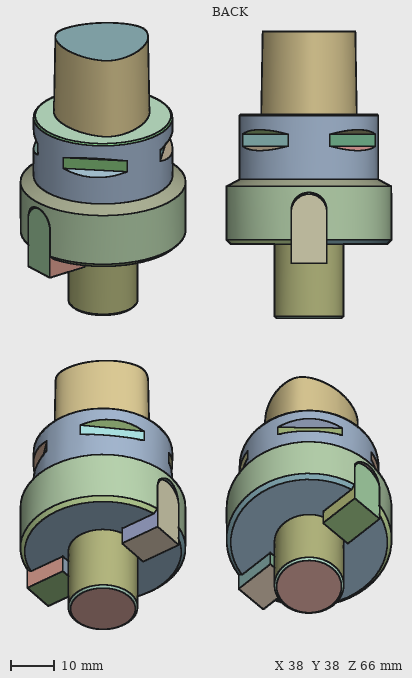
import cadquery as cq
import math

total_height = 66.0
flange_bottom = 17.1
flange_edge_top = 30.35
collar_bottom = 31.95
collar_top = 47.0

spigot_radius = 16.0 / 2
collar_radius = 32.0 / 2
flange_radius = 38.0 / 2
spigot_chamfer = 0.5
flange_chamfer = 1.0
collar_chamfer = 0.4

shank_base_radius = 11.0
shank_top_radius = 10.7
lobe_height = 0.8
lobe_points = 48

notch_count = 4
notch_middle_height = 41.0
notch_flat_height = 2.7
notch_flat_distance = 14.2
notch_side_angle = 30.0

key_width = 8.2
key_bottom = 12.7
key_inner = 8.45
key_outer = 18.6
slot_top = 29.0
key_end_gap = 0.4
key_angles = (0, 180)


def make_turned_body():
    """Spigot, flange and collar as one revolved profile."""
    return (
        cq.Workplane("XZ")
        .moveTo(0, 0)
        .lineTo(spigot_radius - spigot_chamfer, 0)
        .lineTo(spigot_radius, spigot_chamfer)
        .lineTo(spigot_radius, flange_bottom)
        .lineTo(flange_radius - flange_chamfer, flange_bottom)
        .lineTo(flange_radius, flange_bottom + flange_chamfer)
        .lineTo(flange_radius, flange_edge_top)
        .lineTo(collar_radius, collar_bottom)
        .lineTo(collar_radius, collar_top - collar_chamfer)
        .lineTo(collar_radius - collar_chamfer, collar_top)
        .lineTo(0, collar_top)
        .close()
        .revolve(360, (0, 0, 0), (0, 1, 0))
    )


def lobe_point(mean_radius, angle):
    """Point of a constant-width curve with three lobes, one pointing to +Y."""
    reach = mean_radius - lobe_height * math.sin(3 * angle)
    slope = -3 * lobe_height * math.cos(3 * angle)
    x = reach * math.cos(angle) - slope * math.sin(angle)
    y = reach * math.sin(angle) + slope * math.cos(angle)
    return (x, y)


def lobe_outline(mean_radius):
    """Points around the lobed section, starting on the -Y side."""
    step = 2 * math.pi / lobe_points
    return [lobe_point(mean_radius, i * step - math.pi / 2) for i in range(lobe_points)]


def make_shank():
    return (
        cq.Workplane("XY", origin=(0, 0, collar_top))
        .spline(lobe_outline(shank_base_radius), periodic=True)
        .close()
        .workplane(offset=total_height - collar_top)
        .spline(lobe_outline(shank_top_radius), periodic=True)
        .close()
        .loft(ruled=True)
    )


def make_notch(angle):
    """Cutter with a flat floor and sloping sides, facing +X before it is turned."""
    cut_depth = flange_radius - notch_flat_distance
    half_floor = notch_flat_height / 2
    half_mouth = half_floor + cut_depth * math.tan(math.radians(notch_side_angle))
    return (
        cq.Workplane("XZ")
        .moveTo(notch_flat_distance, notch_middle_height - half_floor)
        .lineTo(flange_radius, notch_middle_height - half_mouth)
        .lineTo(flange_radius, notch_middle_height + half_mouth)
        .lineTo(notch_flat_distance, notch_middle_height + half_floor)
        .close()
        .extrude(collar_radius, both=True)
        .rotate((0, 0, 0), (0, 0, 1), angle)
    )


def make_round_top_bar(top, outer, angle):
    """Upright bar with a half-round top, on the -Y side before it is turned."""
    half_width = key_width / 2
    arc_center = top - half_width
    return (
        cq.Workplane("XZ", origin=(0, -key_inner, 0))
        .moveTo(-half_width, key_bottom)
        .lineTo(half_width, key_bottom)
        .lineTo(half_width, arc_center)
        .threePointArc((0, top), (-half_width, arc_center))
        .close()
        .extrude(outer - key_inner)
        .rotate((0, 0, 0), (0, 0, 1), angle)
    )


def make_housing():
    housing = make_turned_body().union(make_shank())
    for i in range(notch_count):
        housing = housing.cut(make_notch(45 + i * 360 / notch_count))
    for angle in key_angles:
        housing = housing.cut(make_round_top_bar(slot_top, flange_radius + 0.65, angle))
    return housing


def make_drive_key(angle):
    return make_round_top_bar(slot_top - key_end_gap, key_outer, angle)


housing = make_housing()
drive_keys = [make_drive_key(angle).val() for angle in key_angles]

result = cq.Compound.makeCompound([housing.solids().val(), *drive_keys])